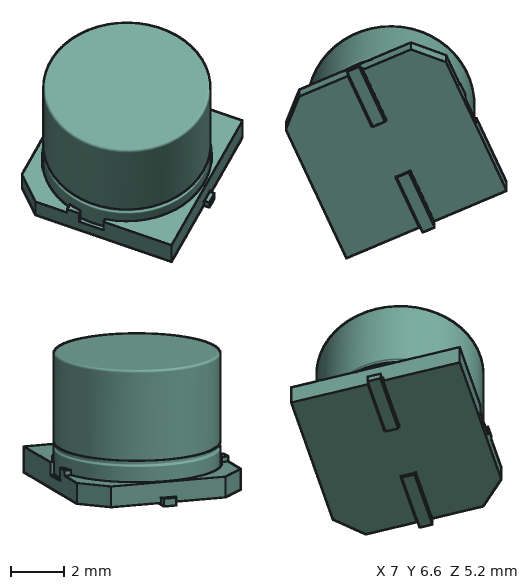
import cadquery as cq
import math

terminal_span = 7.0
base_width = 6.6
total_height = 5.2

base_bottom = 0.1
low_top = 0.9
high_top = 1.1
corner_chamfer = 1.0
step_x = -1.0
window_width = 1.0
seat_floor = 0.6
seat_radius = 3.2

can_radius = 3.15
top_fillet = 0.1
groove_z = 1.61
groove_depth = 0.1
groove_floor_width = 0.1
groove_fillet = groove_depth / 2

terminal_width = 0.5
terminal_gap = 2.2
terminal_height = 0.3
terminal_slot_width = 0.6


def block(x_min, x_max, width, z_min, z_max):
    """Box centred on Y between the given X and Z limits."""
    box = cq.Workplane("XY").box(x_max - x_min, width, z_max - z_min, centered=(False, True, False))
    return box.translate((x_min, 0, z_min))


def make_base():
    half = base_width / 2
    base = block(-half, half, base_width, base_bottom, high_top)
    base = base.edges("|Z and <X").chamfer(corner_chamfer)
    base = base.cut(block(-half, step_x, base_width, low_top, high_top))
    seat = cq.Workplane("XY").workplane(offset=seat_floor).circle(seat_radius).extrude(high_top - seat_floor)
    window = block(-window_width / 2, window_width / 2, base_width, seat_floor, high_top)
    base = base.cut(seat).cut(window)
    slot = block(terminal_gap / 2, half, terminal_slot_width, base_bottom, terminal_height)
    return base.cut(slot).cut(slot.mirror("YZ"))


def make_can():
    half_floor = groove_floor_width / 2
    half_middle = half_floor + groove_fillet
    half_mouth = half_middle + groove_fillet
    middle_radius = can_radius - groove_fillet
    floor_radius = can_radius - groove_depth
    arc_offset = groove_fillet * math.sqrt(0.5)
    lip_radius = middle_radius + arc_offset
    lip_rise = half_mouth - arc_offset
    corner_radius = middle_radius - arc_offset
    corner_rise = half_floor + arc_offset
    fillet_center_r = can_radius - top_fillet
    fillet_center_z = total_height - top_fillet
    fillet_offset = top_fillet * math.sqrt(0.5)
    profile = (
        cq.Workplane("XZ")
        .moveTo(0, seat_floor)
        .lineTo(can_radius, seat_floor)
        .lineTo(can_radius, groove_z - half_mouth)
        .threePointArc((lip_radius, groove_z - lip_rise), (middle_radius, groove_z - half_middle))
        .threePointArc((corner_radius, groove_z - corner_rise), (floor_radius, groove_z - half_floor))
        .lineTo(floor_radius, groove_z + half_floor)
        .threePointArc((corner_radius, groove_z + corner_rise), (middle_radius, groove_z + half_middle))
        .threePointArc((lip_radius, groove_z + lip_rise), (can_radius, groove_z + half_mouth))
        .lineTo(can_radius, fillet_center_z)
        .threePointArc(
            (fillet_center_r + fillet_offset, fillet_center_z + fillet_offset),
            (fillet_center_r, total_height),
        )
        .lineTo(0, total_height)
        .close()
    )
    return profile.revolve(360, (0, 0, 0), (0, 1, 0))


terminal = block(terminal_gap / 2, terminal_span / 2, terminal_width, 0, terminal_height)
result = make_base().union(make_can()).union(terminal).union(terminal.mirror("YZ"))